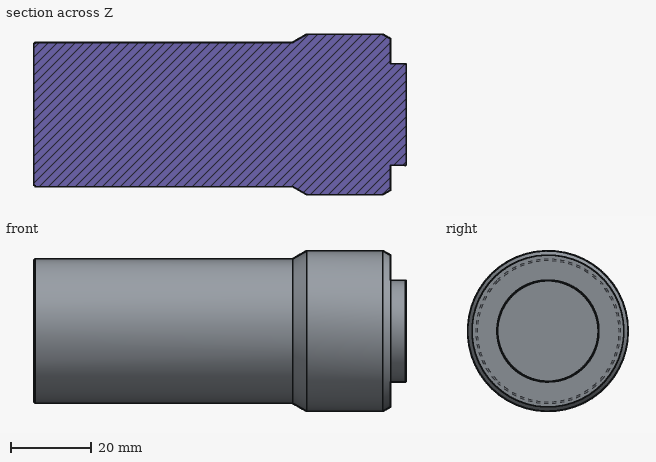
import cadquery as cq

overall_length = 92.7
barrel_diameter = 36.0
barrel_end_chamfer = 0.4
head_diameter = 40.0
head_start = 64.4
shoulder_length = 3.5
head_end = 88.8
head_chamfer_length = 1.9
head_chamfer_depth = 1.1
spigot_diameter = 25.4
spigot_chamfer = 0.2

barrel_radius = barrel_diameter / 2
head_radius = head_diameter / 2
spigot_radius = spigot_diameter / 2

half_section = [
    (0, 0),
    (0, barrel_radius - barrel_end_chamfer),
    (barrel_end_chamfer, barrel_radius),
    (head_start, barrel_radius),
    (head_start + shoulder_length, head_radius),
    (head_end - head_chamfer_length, head_radius),
    (head_end, head_radius - head_chamfer_depth),
    (head_end, spigot_radius),
    (overall_length - spigot_chamfer, spigot_radius),
    (overall_length, spigot_radius - spigot_chamfer),
    (overall_length, 0),
]

result = (
    cq.Workplane("XY")
    .polyline(half_section)
    .close()
    .revolve(360, (0, 0, 0), (1, 0, 0))
)